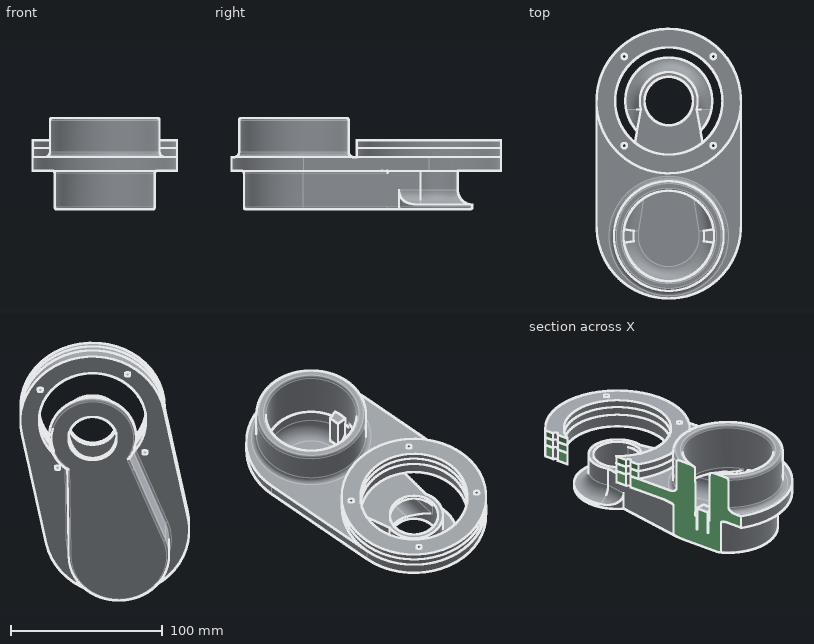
import cadquery as cq
import math

FLANGE_DIA = 95.3
OVERALL_LENGTH = 177.8
PLATE_BOTTOM = 25.5
PLATE_TOP = 34.5
OPENING_DIA = 70.5

LOWER_RING_THICKNESS = 5.9
UPPER_RING_THICKNESS = 5.3
SCREW_HOLE_DIA = 3.4
SCREW_CIRCLE_DIA = (FLANGE_DIA + OPENING_DIA) / 2
SCREW_COUNT = 4
FIRST_SCREW_ANGLE = 45.0

PORT_Y = -88.9
COLLAR_DIA = 72.4
COLLAR_TOP = 60.3
PORT_BORE_DIA = 59.7
COLLAR_ROOT_RADIUS = 3.2

WALL = 3.2
DUCT_PORT_RADIUS = 33.0
DUCT_NECK_RADIUS = 17.0
EDGE_RADIUS = 1.6
FLOOR_RADIUS = 9.6
PASSAGE_PORT_RADIUS = 29.7
PASSAGE_TOP = PLATE_BOTTOM - WALL

NOZZLE_BORE_DIA = 31.8
NOZZLE_RADIUS = NOZZLE_BORE_DIA / 2 + WALL
FOOT_RADIUS = NOZZLE_RADIUS + FLOOR_RADIUS

LUG_INNER_RADIUS = 23.3
LUG_HALF_ANGLE = 8.5
LUG_TOP = 28.3

MOUTH_RADIUS = 12.0 / 2


def cylinder(radius, bottom, top, y=0.0):
    """Upright cylinder between two heights, on the flange axis unless y moves it."""
    return cq.Workplane("XY", origin=(0, y, bottom)).circle(radius).extrude(top - bottom)


def tapered_prism(port_radius, neck_radius, bottom, top):
    """Prism around a circle at the port and a smaller one at the nozzle, joined by tangents."""
    sine = (port_radius - neck_radius) / -PORT_Y
    cosine = math.sqrt(1 - sine**2)
    port_x = port_radius * cosine
    port_y = PORT_Y + port_radius * sine
    neck_x = neck_radius * cosine
    neck_y = neck_radius * sine
    return (
        cq.Workplane("XY", origin=(0, 0, bottom))
        .moveTo(port_x, port_y)
        .lineTo(neck_x, neck_y)
        .threePointArc((0, neck_radius), (-neck_x, neck_y))
        .lineTo(-port_x, port_y)
        .threePointArc((0, PORT_Y - port_radius), (port_x, port_y))
        .close()
        .extrude(top - bottom)
    )


def screw_holes(bottom, top):
    """Cutters for the evenly spaced screw holes around the opening."""
    return (
        cq.Workplane("XY", origin=(0, 0, bottom))
        .polarArray(SCREW_CIRCLE_DIA / 2, FIRST_SCREW_ANGLE, 360, SCREW_COUNT)
        .circle(SCREW_HOLE_DIA / 2)
        .extrude(top - bottom)
    )


def edges_at(height):
    """Selector for the edges of the duct and nozzle that lie at one height."""
    reach = DUCT_PORT_RADIUS + FLOOR_RADIUS
    tolerance = 0.02
    return cq.selectors.BoxSelector(
        (-reach, PORT_Y - reach, height - tolerance),
        (reach, reach, height + tolerance),
        boundingbox=True,
    )


def make_plate():
    """Stadium plate with the port collar above it and the duct blended into its underside."""
    arc_spacing = OVERALL_LENGTH - FLANGE_DIA
    plate = (
        cq.Workplane("XY", origin=(0, -arc_spacing / 2, PLATE_BOTTOM))
        .slot2D(OVERALL_LENGTH, FLANGE_DIA, 90)
        .extrude(PLATE_TOP - PLATE_BOTTOM)
    )
    collar = cylinder(COLLAR_DIA / 2, PLATE_TOP, COLLAR_TOP, PORT_Y)
    plate = plate.union(collar).union(make_duct())
    plate = plate.edges(edges_at(PLATE_TOP)).fillet(COLLAR_ROOT_RADIUS)
    plate = plate.edges(edges_at(PLATE_BOTTOM)).fillet(EDGE_RADIUS)
    opening = cylinder(OPENING_DIA / 2, 0, PLATE_TOP)
    holes = screw_holes(PLATE_BOTTOM, PLATE_TOP)
    return plate.cut(opening).cut(holes)


def make_duct():
    """Solid duct from the base to the plate, rounded along its bottom edge."""
    duct = tapered_prism(DUCT_PORT_RADIUS, DUCT_NECK_RADIUS, 0, PLATE_BOTTOM)
    return duct.faces("<Z").edges().fillet(EDGE_RADIUS)


def make_nozzle():
    """Solid nozzle whose foot flares out around the tube and the sides of the duct."""
    column = cylinder(NOZZLE_RADIUS, WALL, PLATE_BOTTOM)
    column = column.union(tapered_prism(DUCT_PORT_RADIUS, DUCT_NECK_RADIUS, WALL, PLATE_BOTTOM))
    slab = cylinder(OVERALL_LENGTH, 0, WALL)
    flared = slab.union(column).edges(edges_at(WALL)).fillet(FLOOR_RADIUS)
    foot = cylinder(FOOT_RADIUS, 0, PLATE_BOTTOM).faces("<Z").edges().fillet(EDGE_RADIUS)
    return flared.intersect(foot)


def make_passage():
    """Space inside the duct, with a rounded edge around its floor."""
    passage = tapered_prism(PASSAGE_PORT_RADIUS, NOZZLE_BORE_DIA / 2, WALL, PASSAGE_TOP)
    return passage.faces("<Z").edges().fillet(FLOOR_RADIUS)


def make_mouth():
    """Bell-shaped end of the port bore, kept within the side walls of the passage."""
    bore_radius = PORT_BORE_DIA / 2
    bell_radius = bore_radius + MOUTH_RADIUS
    bell_top = PASSAGE_TOP + MOUTH_RADIUS
    inset = MOUTH_RADIUS * (1 - math.sqrt(0.5))
    bell = (
        cq.Workplane("XZ", origin=(0, PORT_Y, 0))
        .moveTo(0, PASSAGE_TOP)
        .lineTo(bell_radius, PASSAGE_TOP)
        .threePointArc((bore_radius + inset, PASSAGE_TOP + inset), (bore_radius, bell_top))
        .lineTo(0, bell_top)
        .close()
        .revolve(360, (0, 0, 0), (0, 1, 0))
    )
    walls = tapered_prism(PASSAGE_PORT_RADIUS, NOZZLE_BORE_DIA / 2, PASSAGE_TOP, bell_top)
    return bell.intersect(walls)


def make_lugs():
    """Two ring sectors on opposite sides of the port wall, standing on the floor."""
    outer_radius = (PORT_BORE_DIA + WALL) / 2
    ring = cylinder(outer_radius, WALL / 2, LUG_TOP, PORT_Y).cut(
        cylinder(LUG_INNER_RADIUS, WALL / 2, LUG_TOP, PORT_Y)
    )
    half_width = outer_radius * math.tan(math.radians(LUG_HALF_ANGLE))
    wedges = (
        cq.Workplane("XY", origin=(0, PORT_Y, 0))
        .polyline([(0, 0), (outer_radius, -half_width), (outer_radius, half_width)])
        .close()
        .polyline([(0, 0), (-outer_radius, half_width), (-outer_radius, -half_width)])
        .close()
        .extrude(LUG_TOP)
    )
    return ring.intersect(wedges)


def make_housing():
    """Plate, duct and nozzle as one solid; the duct is added again to cross the plate opening."""
    body = make_plate().union(make_duct()).union(make_nozzle())
    port_bore = cylinder(PORT_BORE_DIA / 2, PASSAGE_TOP, COLLAR_TOP, PORT_Y)
    nozzle_bore = cylinder(NOZZLE_BORE_DIA / 2, 0, PLATE_BOTTOM)
    body = body.cut(make_passage()).cut(make_mouth()).cut(port_bore).cut(nozzle_bore)
    body = body.faces(">Z").edges().fillet(EDGE_RADIUS)
    return body.union(make_lugs())


def make_ring(bottom, thickness):
    """Flat ring that matches the flange, its opening and its screw holes."""
    top = bottom + thickness
    blank = cylinder(FLANGE_DIA / 2, bottom, top)
    return blank.cut(cylinder(OPENING_DIA / 2, bottom, top)).cut(screw_holes(bottom, top))


housing = make_housing()
lower_ring = make_ring(PLATE_TOP, LOWER_RING_THICKNESS)
upper_ring = make_ring(PLATE_TOP + LOWER_RING_THICKNESS, UPPER_RING_THICKNESS)

result = cq.Compound.makeCompound([housing.val(), lower_ring.val(), upper_ring.val()])